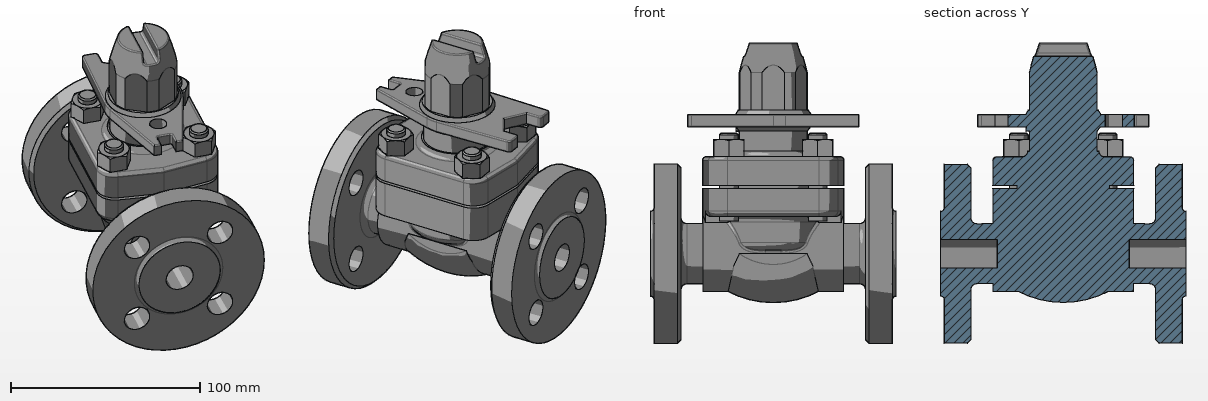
import cadquery as cq
import math


HALF_LENGTH = 65.0
FLANGE_RADIUS = 47.5
FLANGE_THICKNESS = 14.3
FLANGE_BACK_CHAMFER = 2.0
RAISED_FACE_HEIGHT = 2.0
RAISED_FACE_RADIUS = 22.5
FLANGE_HOLE_DIAMETER = 14.0
FLANGE_BOLT_CIRCLE_RADIUS = 32.5
FLANGE_HOLE_COUNT = 4
PIPE_RADIUS = 16.0
PIPE_FILLET = 3.0
BORE_DIAMETER = 15.0
BORE_DEPTH = 30.0
BARREL_RADIUS = 20.0
BARREL_HALF_LENGTH = 37.2
FLANGE_FRONT_X = HALF_LENGTH - RAISED_FACE_HEIGHT
FLANGE_BACK_X = FLANGE_FRONT_X - FLANGE_THICKNESS

BELLY_TUBE_RADIUS = 20.2
BELLY_SAG = 5.7
BELLY_TOP_HALF_LENGTH = 17.9
BELLY_BOTTOM_HALF_LENGTH = 27.3

BOWL_RADIUS = 26.0
BOWL_BOTTOM_Z = 2.0
BOWL_FILLET = 4.0
BOWL_SEAM_FILLET = 1.6
BOWL_FLARE_START_Z = 16.9
WEB_HALF_WIDTH = 11.4
REAR_HOUSING_BOTTOM_Z = 15.0

BONNET_HALF_LENGTH = 37.4
BONNET_CORNER_X = 33.1
BONNET_HALF_WIDTH = 33.3
BONNET_CORNER_RADIUS = 10.0
BODY_FLANGE_BOTTOM_Z = 19.7
BODY_FLANGE_TOP_Z = 34.6
BODY_FLANGE_FILLET = 3.0
COVER_BOTTOM_Z = 36.0
COVER_TOP_Z = 51.3
COVER_FILLET = 2.0
GASKET_RADIUS = 24.5

STUD_OFFSET = 23.5
STUD_DIAMETER = 10.0
STUD_TIP_CHAMFER = 0.8
STUD_BOTTOM_Z = 17.2
STUD_TOP_Z = 63.7
NUT_ACROSS_FLATS = 16.0
NUT_TOP_Z = 60.5
NUT_CHAMFER_ANGLE = 30.0

NECK_RADIUS = 18.0
NECK_FILLET = 3.0
NECK_FOOT_RADIUS = 19.0
INDEX_PIN_DIAMETER = 2.0
INDEX_PIN_Z = 65.7
PLATE_BOTTOM_Z = 66.9
PLATE_TOP_Z = 73.7
PLATE_EDGE_FILLET = 0.7
PLATE_HALF_LENGTH = 45.3
PLATE_HUB_RADIUS = 21.2
PLATE_LEFT_HALF_WIDTH = 20.1
PLATE_TIP_HALF_WIDTH = 8.0
PLATE_CORNER_RADIUS = 2.0
FORK_HALF_WIDTH = 11.2
FORK_SHOULDER_X = -36.2
FORK_APEX_X = -29.2
TIP_SLOT_WIDTH = 8.0
TIP_SLOT_END_X = 37.6
TIP_SLOT_CORNER_RADIUS = 1.0
PLATE_HOLE_X = 26.7
PLATE_HOLE_DIAMETER = 9.0
FLARE_RADIUS = 19.7
FLARE_HEIGHT = 2.0
COLLAR_RADIUS = 20.0
COLLAR_TOP_RADIUS = 18.6

CAP_RADIUS = 18.0
CAP_ACROSS_FLATS = 34.0
CAP_BOTTOM_Z = 75.9
CAP_CYLINDER_TOP_Z = 95.8
CAP_SHOULDER_RADIUS = 16.9
CAP_SHOULDER_Z = 100.1
CAP_TOP_RADIUS = 13.5
CAP_TOP_Z = 111.5
CAP_EDGE_FILLET = 0.8
CAP_SLOT_WIDTH = 8.0
CAP_SLOT_FLOOR_Z = 104.5
CAP_SLOT_CORNER_RADIUS = 1.5


def disc(radius, bottom_z, top_z):
    """Solid cylinder about the stem axis."""
    return cq.Workplane("XY").workplane(offset=bottom_z).circle(radius).extrude(top_z - bottom_z)


def stud_positions():
    return [(sx * STUD_OFFSET, sy * STUD_OFFSET) for sx in (-1, 1) for sy in (-1, 1)]


def pipe_line():
    """Barrel, pipe stubs and both end flanges, turned about the pipe axis."""
    half = (
        cq.Workplane("XY")
        .lineTo(0, BARREL_RADIUS)
        .lineTo(BARREL_HALF_LENGTH, BARREL_RADIUS)
        .lineTo(BARREL_HALF_LENGTH, PIPE_RADIUS)
        .lineTo(FLANGE_BACK_X - PIPE_FILLET, PIPE_RADIUS)
        .radiusArc((FLANGE_BACK_X, PIPE_RADIUS + PIPE_FILLET), -PIPE_FILLET)
        .lineTo(FLANGE_BACK_X, FLANGE_RADIUS - FLANGE_BACK_CHAMFER)
        .lineTo(FLANGE_BACK_X + FLANGE_BACK_CHAMFER, FLANGE_RADIUS)
        .lineTo(FLANGE_FRONT_X, FLANGE_RADIUS)
        .lineTo(FLANGE_FRONT_X, RAISED_FACE_RADIUS + RAISED_FACE_HEIGHT)
        .radiusArc((HALF_LENGTH, RAISED_FACE_RADIUS), -RAISED_FACE_HEIGHT)
        .lineTo(HALF_LENGTH, 0)
        .close()
        .revolve(360, (0, 0, 0), (1, 0, 0))
    )
    return half.union(half.mirror("YZ"))


def flange_holes():
    """Bolt holes through the left end flange, straddling the vertical plane."""
    return (
        cq.Workplane("YZ")
        .workplane(offset=-HALF_LENGTH)
        .polarArray(FLANGE_BOLT_CIRCLE_RADIUS, 45, 360, FLANGE_HOLE_COUNT)
        .circle(FLANGE_HOLE_DIAMETER / 2)
        .extrude(HALF_LENGTH - FLANGE_BACK_X)
    )


def bore():
    """Blind bore entering from the left end face."""
    return cq.Workplane("YZ").workplane(offset=-HALF_LENGTH).circle(BORE_DIAMETER / 2).extrude(BORE_DEPTH)


def belly():
    """Sagging tube below the pipe axis, filled up to the axis and trimmed by sloping ends."""
    arc_radius = (BELLY_TOP_HALF_LENGTH**2 + BELLY_SAG**2) / (2 * BELLY_SAG)
    arc_centre_z = arc_radius - BELLY_SAG
    belly_bottom_z = -BELLY_SAG - BELLY_TUBE_RADIUS
    tube = (
        cq.Workplane("YZ")
        .moveTo(-BELLY_TUBE_RADIUS, 0)
        .lineTo(-BELLY_TUBE_RADIUS, -BELLY_SAG)
        .threePointArc((0, belly_bottom_z), (BELLY_TUBE_RADIUS, -BELLY_SAG))
        .lineTo(BELLY_TUBE_RADIUS, 0)
        .close()
        .revolve(360, (0, arc_centre_z, 0), (1, arc_centre_z, 0))
    )
    end_outline = (
        cq.Workplane("XZ")
        .polyline(
            [
                (-BELLY_TOP_HALF_LENGTH, 0),
                (BELLY_TOP_HALF_LENGTH, 0),
                (BELLY_BOTTOM_HALF_LENGTH, -BARREL_RADIUS),
                (BELLY_BOTTOM_HALF_LENGTH, belly_bottom_z),
                (-BELLY_BOTTOM_HALF_LENGTH, belly_bottom_z),
                (-BELLY_BOTTOM_HALF_LENGTH, -BARREL_RADIUS),
            ]
        )
        .close()
        .extrude(BELLY_TUBE_RADIUS, both=True)
    )
    return tube.intersect(end_outline)


def bowl():
    """Round bowl that bulges out of the barrel below the bonnet flange."""
    return disc(BOWL_RADIUS, BOWL_BOTTOM_Z, BODY_FLANGE_TOP_Z).faces("<Z").edges().fillet(BOWL_FILLET)


def barrel_with_bowl():
    """Pipe line and bowl joined, with the front seam between them rounded."""
    joined = pipe_line().union(bowl())
    front_seam = cq.selectors.BoxSelector(
        (-BOWL_RADIUS, -BARREL_RADIUS, BOWL_BOTTOM_Z - BOWL_SEAM_FILLET),
        (BOWL_RADIUS, -BOWL_SEAM_FILLET, BARREL_RADIUS),
    )
    return joined.edges(front_seam).fillet(BOWL_SEAM_FILLET)


def bowl_flare():
    """Hollow-rounded ring where the bowl widens into the underside of the body flange."""
    flare_radius = BODY_FLANGE_BOTTOM_Z - BOWL_FLARE_START_Z
    return (
        cq.Workplane("XZ")
        .moveTo(0, BOWL_FLARE_START_Z)
        .lineTo(BOWL_RADIUS, BOWL_FLARE_START_Z)
        .radiusArc((BOWL_RADIUS + flare_radius, BODY_FLANGE_BOTTOM_Z), flare_radius)
        .lineTo(0, BODY_FLANGE_BOTTOM_Z)
        .close()
        .revolve(360, (0, 0, 0), (0, 1, 0))
    )


def housing():
    """Walls from the barrel up to the body flange: a web on the centre line and a full-width rear half."""
    web = cq.Workplane("XY").box(
        2 * BONNET_HALF_LENGTH, 2 * WEB_HALF_WIDTH, BODY_FLANGE_TOP_Z, centered=(True, True, False)
    )
    rear_half = (
        cq.Workplane("XY")
        .workplane(offset=REAR_HOUSING_BOTTOM_Z)
        .box(
            2 * BONNET_HALF_LENGTH,
            BONNET_HALF_WIDTH,
            BODY_FLANGE_TOP_Z - REAR_HOUSING_BOTTOM_Z,
            centered=(True, False, False),
        )
    )
    return bonnet_slab(0, BODY_FLANGE_TOP_Z).intersect(web.union(rear_half))


def bonnet_slab(bottom_z, top_z):
    """Six-sided slab with rounded corners; its ends come to a blunt point at the middle."""
    return (
        cq.Workplane("XY")
        .workplane(offset=bottom_z)
        .polyline(
            [
                (BONNET_HALF_LENGTH, 0),
                (BONNET_CORNER_X, BONNET_HALF_WIDTH),
                (-BONNET_CORNER_X, BONNET_HALF_WIDTH),
                (-BONNET_HALF_LENGTH, 0),
                (-BONNET_CORNER_X, -BONNET_HALF_WIDTH),
                (BONNET_CORNER_X, -BONNET_HALF_WIDTH),
            ]
        )
        .close()
        .extrude(top_z - bottom_z)
        .edges("|Z and (>Y or <Y)")
        .fillet(BONNET_CORNER_RADIUS)
    )


def bonnet():
    """Body flange with its housing walls, and cover, held apart by the gasket."""
    body_flange = bonnet_slab(BODY_FLANGE_BOTTOM_Z, BODY_FLANGE_TOP_Z)
    body_flange = body_flange.faces("<Z").edges().fillet(BODY_FLANGE_FILLET)
    cover = bonnet_slab(COVER_BOTTOM_Z, COVER_TOP_Z).faces(">Z").edges().fillet(COVER_FILLET)
    gasket = disc(GASKET_RADIUS, BODY_FLANGE_TOP_Z, COVER_BOTTOM_Z)
    return body_flange.union(housing()).union(gasket).union(cover)


def fasteners():
    """Four studs with hexagon nuts whose flats face along X and whose top corners are chamfered."""
    studs = (
        cq.Workplane("XY")
        .workplane(offset=STUD_BOTTOM_Z)
        .pushPoints(stud_positions())
        .circle(STUD_DIAMETER / 2)
        .extrude(STUD_TOP_Z - STUD_BOTTOM_Z)
        .faces(">Z")
        .edges()
        .chamfer(STUD_TIP_CHAMFER)
    )
    across_corners = NUT_ACROSS_FLATS / math.cos(math.pi / 6)
    nut = (
        cq.Workplane("XY")
        .workplane(offset=COVER_TOP_Z)
        .transformed(rotate=(0, 0, 30))
        .polygon(6, across_corners)
        .extrude(NUT_TOP_Z - COVER_TOP_Z)
    )
    corner_overhang = (across_corners - NUT_ACROSS_FLATS) / 2
    corner_cone = disc(across_corners / 2, COVER_TOP_Z, NUT_TOP_Z).faces(">Z").chamfer(
        corner_overhang * math.tan(math.radians(NUT_CHAMFER_ANGLE)), corner_overhang
    )
    nut = nut.intersect(corner_cone)
    for x, y in stud_positions():
        studs = studs.union(nut.translate((x, y, 0)))
    return studs


def neck():
    """Turned neck from the cover up to the cap, flaring out where it meets the cover and the plate."""
    return (
        cq.Workplane("XZ")
        .moveTo(0, COVER_TOP_Z)
        .lineTo(NECK_FOOT_RADIUS + NECK_FILLET, COVER_TOP_Z)
        .radiusArc((NECK_FOOT_RADIUS, COVER_TOP_Z + NECK_FILLET), NECK_FILLET)
        .lineTo(NECK_RADIUS, COVER_TOP_Z + NECK_FILLET)
        .lineTo(NECK_RADIUS, PLATE_BOTTOM_Z - FLARE_HEIGHT)
        .lineTo(FLARE_RADIUS, PLATE_BOTTOM_Z)
        .lineTo(COLLAR_RADIUS, PLATE_TOP_Z)
        .lineTo(COLLAR_TOP_RADIUS, CAP_BOTTOM_Z)
        .lineTo(0, CAP_BOTTOM_Z)
        .close()
        .revolve(360, (0, 0, 0), (0, 1, 0))
    )


def handle_plate():
    """Flat plate with a round hub, a V-bottomed fork at one end and a slotted tip at the other."""
    tip_distance = math.hypot(PLATE_HALF_LENGTH, PLATE_TIP_HALF_WIDTH)
    tip_angle = math.atan2(PLATE_TIP_HALF_WIDTH, PLATE_HALF_LENGTH)
    tangent_angle = tip_angle + math.acos(PLATE_HUB_RADIUS / tip_distance)
    tangent_x = PLATE_HUB_RADIUS * math.cos(tangent_angle)
    tangent_y = PLATE_HUB_RADIUS * math.sin(tangent_angle)
    thickness = PLATE_TOP_Z - PLATE_BOTTOM_Z

    plate = (
        cq.Workplane("XY")
        .workplane(offset=PLATE_BOTTOM_Z)
        .moveTo(-PLATE_HALF_LENGTH, PLATE_LEFT_HALF_WIDTH)
        .lineTo(0, PLATE_HUB_RADIUS)
        .radiusArc((tangent_x, tangent_y), PLATE_HUB_RADIUS)
        .lineTo(PLATE_HALF_LENGTH, PLATE_TIP_HALF_WIDTH)
        .lineTo(PLATE_HALF_LENGTH, -PLATE_TIP_HALF_WIDTH)
        .lineTo(tangent_x, -tangent_y)
        .radiusArc((0, -PLATE_HUB_RADIUS), PLATE_HUB_RADIUS)
        .lineTo(-PLATE_HALF_LENGTH, -PLATE_LEFT_HALF_WIDTH)
        .lineTo(-PLATE_HALF_LENGTH, -FORK_HALF_WIDTH)
        .lineTo(FORK_SHOULDER_X, -FORK_HALF_WIDTH)
        .lineTo(FORK_APEX_X, 0)
        .lineTo(FORK_SHOULDER_X, FORK_HALF_WIDTH)
        .lineTo(-PLATE_HALF_LENGTH, FORK_HALF_WIDTH)
        .close()
        .extrude(thickness)
        .edges("|Z and <X")
        .fillet(PLATE_CORNER_RADIUS)
    )
    tip_slot_length = PLATE_HALF_LENGTH - TIP_SLOT_END_X
    tip_slot = (
        cq.Workplane("XY")
        .box(2 * tip_slot_length, TIP_SLOT_WIDTH, thickness, centered=(True, True, False))
        .edges("|Z")
        .fillet(TIP_SLOT_CORNER_RADIUS)
        .translate((PLATE_HALF_LENGTH, 0, PLATE_BOTTOM_Z))
    )
    hole = disc(PLATE_HOLE_DIAMETER / 2, PLATE_BOTTOM_Z, PLATE_TOP_Z).translate((PLATE_HOLE_X, 0, 0))
    return plate.cut(tip_slot).faces("<Z or >Z").edges().fillet(PLATE_EDGE_FILLET).cut(hole)


def index_pin():
    """Small pin under the plate, pointing along -X to the edge of the neck flare."""
    return (
        cq.Workplane("YZ")
        .center(0, INDEX_PIN_Z)
        .circle(INDEX_PIN_DIAMETER / 2)
        .extrude(-FLARE_RADIUS)
    )


def cap():
    """Domed cap with six wrench flats and a screwdriver slot along X, rounded at its edges."""
    turned = (
        cq.Workplane("YZ")
        .moveTo(0, CAP_BOTTOM_Z)
        .lineTo(CAP_RADIUS, CAP_BOTTOM_Z)
        .lineTo(CAP_RADIUS, CAP_CYLINDER_TOP_Z)
        .threePointArc((CAP_SHOULDER_RADIUS, CAP_SHOULDER_Z), (CAP_TOP_RADIUS, CAP_TOP_Z))
        .lineTo(0, CAP_TOP_Z)
        .close()
        .revolve(360, (0, 0, 0), (0, 1, 0))
    )
    slot_depth = CAP_TOP_Z - CAP_SLOT_FLOOR_Z
    slot = (
        cq.Workplane("XY")
        .workplane(offset=CAP_SLOT_FLOOR_Z)
        .box(2 * CAP_RADIUS, CAP_SLOT_WIDTH, slot_depth, centered=(True, True, False))
        .edges("|X and <Z")
        .fillet(CAP_SLOT_CORNER_RADIUS)
    )
    above_slot_floor = cq.selectors.BoxSelector(
        (-CAP_RADIUS, -CAP_RADIUS, CAP_SLOT_FLOOR_Z - CAP_EDGE_FILLET),
        (CAP_RADIUS, CAP_RADIUS, CAP_TOP_Z + CAP_EDGE_FILLET),
        boundingbox=True,
    )
    rounded = (
        turned.cut(slot)
        .edges(above_slot_floor)
        .edges("(not |X) or >Z")
        .fillet(CAP_EDGE_FILLET)
    )
    across_corners = CAP_ACROSS_FLATS / math.cos(math.pi / 6)
    wrench_hexagon = (
        cq.Workplane("XY")
        .workplane(offset=CAP_BOTTOM_Z)
        .polygon(6, across_corners)
        .extrude(CAP_TOP_Z - CAP_BOTTOM_Z)
    )
    return rounded.intersect(wrench_hexagon)


result = (
    barrel_with_bowl()
    .union(belly())
    .union(bowl_flare())
    .union(bonnet())
    .union(fasteners())
    .union(neck())
    .union(handle_plate())
    .union(index_pin())
    .union(cap())
    .cut(bore())
    .cut(bore().mirror("YZ"))
    .cut(flange_holes())
    .cut(flange_holes().mirror("YZ"))
)